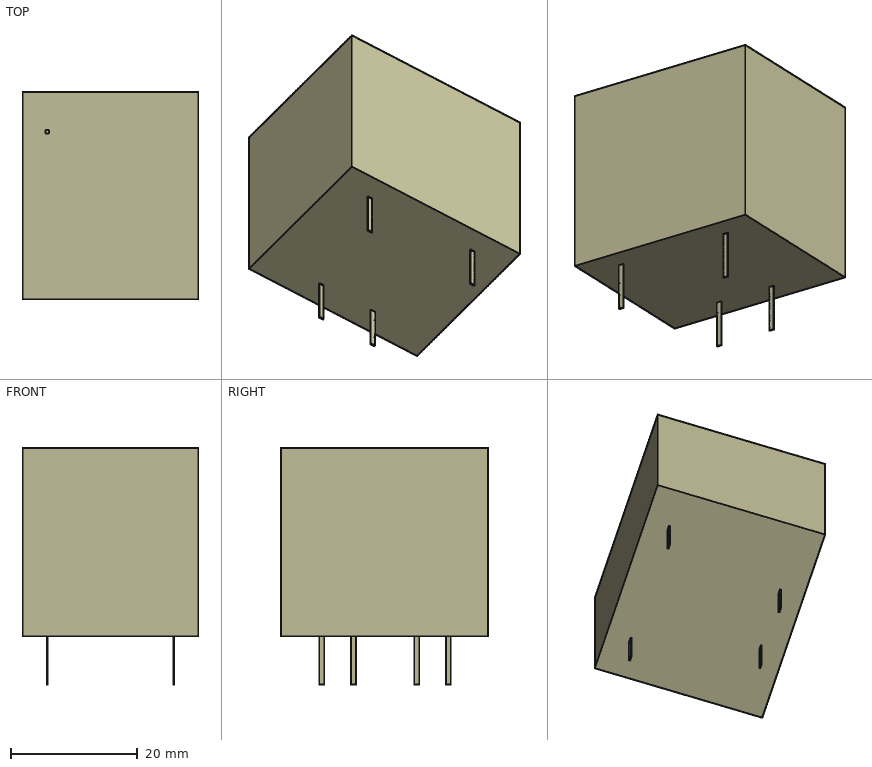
import cadquery as cq

HOUSING_LENGTH_X = 27.79
HOUSING_LENGTH_Y = 32.79
HOUSING_HEIGHT = 29.8

OVERALL_HEIGHT = 37.42
PIN_LENGTH = OVERALL_HEIGHT - HOUSING_HEIGHT
PIN_THICKNESS_X = 0.2
PIN_WIDTH_Y = 0.82
ROW_SPACING_X = 20.0
WIDE_PIN_SPACING_Y = 20.0
NARROW_PIN_SPACING_Y = 10.0
PIN_OFFSET_Y = 0.095

MARKER_DIAMETER = 0.64
MARKER_DEPTH = 0.2

row_x = ROW_SPACING_X / 2
wide_y = WIDE_PIN_SPACING_Y / 2
narrow_y = NARROW_PIN_SPACING_Y / 2
first_pin = (-row_x, PIN_OFFSET_Y + wide_y)
pin_positions = [
    first_pin,
    (-row_x, PIN_OFFSET_Y - wide_y),
    (row_x, PIN_OFFSET_Y + narrow_y),
    (row_x, PIN_OFFSET_Y - narrow_y),
]


def make_marker():
    """Disc whose top is level with the top of the housing."""
    floor = cq.Workplane("XY", origin=(*first_pin, HOUSING_HEIGHT - MARKER_DEPTH))
    return floor.circle(MARKER_DIAMETER / 2).extrude(MARKER_DEPTH)


def make_housing():
    """Block with a recess that the marker fills."""
    block = cq.Workplane("XY").box(
        HOUSING_LENGTH_X, HOUSING_LENGTH_Y, HOUSING_HEIGHT, centered=(True, True, False)
    )
    return block.cut(make_marker())


def make_pin(x, y):
    """Flat pin hanging from the underside of the housing."""
    underside = cq.Workplane("XY", origin=(x, y, 0))
    return underside.rect(PIN_THICKNESS_X, PIN_WIDTH_Y).extrude(-PIN_LENGTH)


housing = make_housing()
marker = make_marker()
pins = [make_pin(x, y) for x, y in pin_positions]

result = cq.Compound.makeCompound(
    [housing.val(), marker.val(), *[pin.val() for pin in pins]]
)